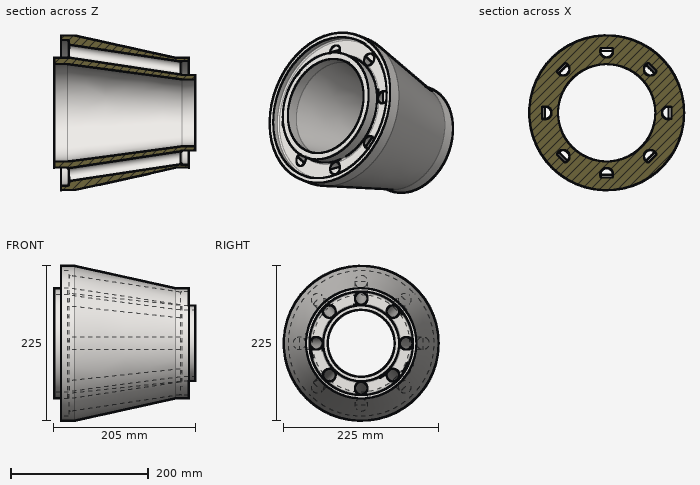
import cadquery as cq
import math

total_length = 205.0
sleeve_projection = 9.7
large_rim_length = 19.8
small_rim_length = 19.1
bore_straight_length = 19.5
groove_depth = 11.7

large_diameter = 225
small_diameter = 160.0

large_sleeve_diameter = 160.0
small_sleeve_diameter = 110.0
large_bore_diameter = 141.0
small_bore_diameter = 96.8

large_groove_diameter = 211.3
small_groove_diameter = 150.3
groove_fillet = 2.0

passage_count = 8
passage_diameter = 18.2
passage_start_radius = 89.5

large_face_x = sleeve_projection
small_face_x = total_length - sleeve_projection
large_floor_x = large_face_x + groove_depth
small_floor_x = small_face_x - groove_depth
passage_end_radius = (small_sleeve_diameter + small_groove_diameter) / 4


def make_body():
    """Revolve the stepped conical wall, open along its bore, about X."""
    profile = [
        (0, large_bore_diameter / 2),
        (0, large_sleeve_diameter / 2),
        (large_face_x, large_sleeve_diameter / 2),
        (large_face_x, large_diameter / 2),
        (large_face_x + large_rim_length, large_diameter / 2),
        (small_face_x - small_rim_length, small_diameter / 2),
        (small_face_x, small_diameter / 2),
        (small_face_x, small_sleeve_diameter / 2),
        (total_length, small_sleeve_diameter / 2),
        (total_length, small_bore_diameter / 2),
        (total_length - bore_straight_length, small_bore_diameter / 2),
        (bore_straight_length, large_bore_diameter / 2),
    ]
    return cq.Workplane("XY").polyline(profile).close().revolve(360, (0, 0, 0), (1, 0, 0))


def make_groove(face_x, inner_diameter, outer_diameter, floor_edges):
    """Ring cutter from an end face inward, rounded along its floor edges."""
    depth = math.copysign(groove_depth, total_length / 2 - face_x)
    ring = (
        cq.Workplane("YZ", origin=(face_x, 0, 0))
        .circle(outer_diameter / 2)
        .circle(inner_diameter / 2)
        .extrude(depth)
    )
    return ring.faces(floor_edges).edges().fillet(groove_fillet)


def make_passage(angle):
    """Round cutter, square-ended at the large groove floor and opening into the small groove."""
    start = cq.Vector(large_floor_x, 0, passage_start_radius)
    end = cq.Vector(small_floor_x, 0, passage_end_radius)
    axis = end - start
    slope = (passage_start_radius - passage_end_radius) / (small_floor_x - large_floor_x)
    end_overrun = slope * passage_diameter / 2
    passage = cq.Solid.makeCylinder(passage_diameter / 2, axis.Length + end_overrun, start, axis)
    return passage.rotate(cq.Vector(0, 0, 0), cq.Vector(1, 0, 0), angle)


result = make_body()
result = result.cut(make_groove(large_face_x, large_sleeve_diameter, large_groove_diameter, ">X"))
result = result.cut(make_groove(small_face_x, small_sleeve_diameter, small_groove_diameter, "<X"))
for index in range(passage_count):
    result = result.cut(cq.Workplane(make_passage(index * 360 / passage_count)))